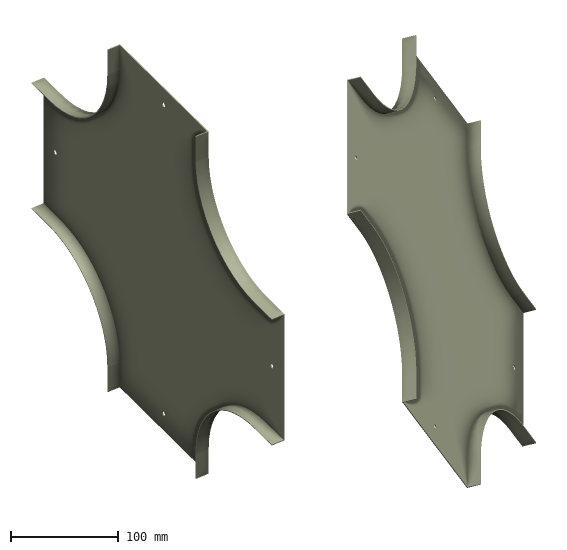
import cadquery as cq

span = 412.0
depth = 14.0
sheet = 1.0
arm_width = 152.0
corner_radius = 100.0
hole_diameter = 5.0
hole_edge_distance = 20.0

half_span = span / 2
half_arm = arm_width / 2
plate_back = depth / 2
arc_middle = 0.5 ** 0.5


def corner_cutter(offset):
    """Prism that removes the first-quadrant corner, grown into the cross by offset."""
    edge = half_arm - offset
    radius = corner_radius + offset
    center = edge + radius
    middle = center - radius * arc_middle
    return (
        cq.Workplane("XZ", origin=(0, plate_back, 0))
        .moveTo(half_span, edge)
        .lineTo(center, edge)
        .threePointArc((middle, middle), (edge, center))
        .lineTo(edge, half_span)
        .lineTo(half_span, half_span)
        .close()
        .extrude(depth)
    )


def plate():
    """Square sheet at the +Y side, before the corners are removed."""
    return cq.Workplane("XZ", origin=(0, plate_back, 0)).rect(span, span).extrude(sheet)


def holes():
    """One mounting hole near the end of each arm."""
    return (
        cq.Workplane("XZ", origin=(0, plate_back, 0))
        .polarArray(half_span - hole_edge_distance, 0, 360, 4)
        .circle(hole_diameter / 2)
        .extrude(sheet)
    )


corner = corner_cutter(0)
flange = corner_cutter(sheet).cut(corner)

result = plate().cut(holes())
for angle in (0, 90, 180, 270):
    result = result.cut(corner.rotate((0, 0, 0), (0, 1, 0), angle))
    result = result.union(flange.rotate((0, 0, 0), (0, 1, 0), angle))